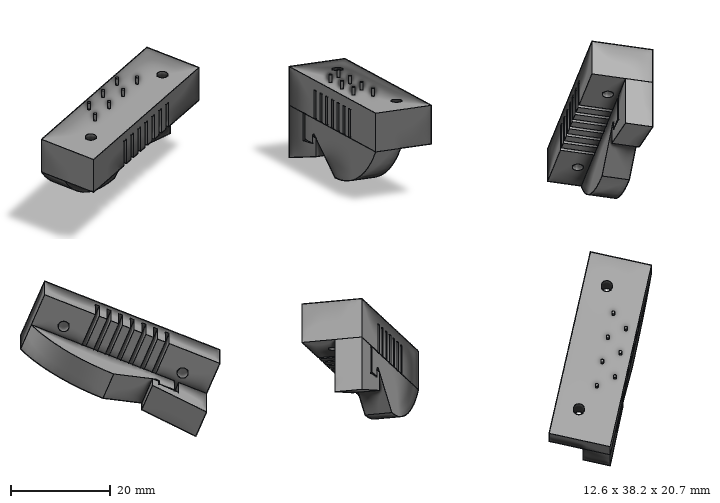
import cadquery as cq
import math

width = 12.6
length = 38.2
height = 8.1
end_y = length / 2

position_count = 7
pitch = 2.54
slot_width = 0.85
slot_height = 6.0
pin_diameter = 0.6
pin_height = 1.6
outer_pin_x = 2.15
inner_pin_x = 5.3

hole_diameter = 2.2
hole_x = 7.85
hole_spacing = 25.9

latch_thickness = 5.65

hook_depth = 11.0
arm_width = 6.1
floor_outer_depth = 5.85
floor_inner_depth = 5.4
lip_start = 10.4
lip_end = 11.8
lip_top_depth = 3.85
lip_bottom_depth = 7.8

cam_start = 7.03
catch_depth = 5.35
notch_start = 10.28
notch_top_depth = 3.32
notch_radius = 0.6
cam_low_point = 20.25
cam_depth = 10.0


def pitch_positions():
    """Y positions of the slots and pins, from the +Y end to the -Y end."""
    first_y = pitch * (position_count - 1) / 2
    return [first_y - pitch * index for index in range(position_count)]


def latch_point(distance, depth):
    """Sketch point in the YZ plane from distance to the +Y end and depth."""
    return (end_y - distance, -depth)


def make_housing():
    """Slotted block with mounting holes and a staggered row of integral pins."""
    block = cq.Workplane("XY").box(width, length, height, centered=(False, True, False))
    holes = (
        cq.Workplane("XY")
        .pushPoints([(hole_x, -hole_spacing / 2), (hole_x, hole_spacing / 2)])
        .circle(hole_diameter / 2)
        .extrude(height)
    )
    block = block.cut(holes)
    for index, y in enumerate(pitch_positions()):
        slot = (
            cq.Workplane("XY")
            .box(width, slot_width, slot_height, centered=(False, True, False))
            .translate((0, y, 0))
        )
        pin_x = inner_pin_x if index % 2 == 0 else outer_pin_x
        pin = (
            cq.Workplane("XY", origin=(pin_x, y, height))
            .circle(pin_diameter / 2)
            .extrude(pin_height)
        )
        block = block.cut(slot).union(pin)
    return block.solids()


def make_hook():
    """Hanging arm whose floor rises to an upturned lip under the cam."""
    outline = [
        latch_point(0, 0),
        latch_point(arm_width, 0),
        latch_point(arm_width, floor_outer_depth),
        latch_point(lip_start, floor_inner_depth),
        latch_point(lip_start, lip_top_depth),
        latch_point(lip_end, lip_top_depth),
        latch_point(lip_end, lip_bottom_depth),
        latch_point(0, hook_depth),
    ]
    return cq.Workplane("YZ").polyline(outline).close().extrude(latch_thickness)


def make_cam():
    """Cam with a round-topped catch notch, a straight flank and an arc underside."""
    notch_center = notch_start + notch_radius
    notch_center_depth = notch_top_depth + notch_radius
    flank_run = cam_low_point - notch_center
    flank_drop = cam_depth - notch_center_depth
    flank_angle = math.atan2(flank_drop, flank_run) + math.asin(
        notch_radius / math.hypot(flank_run, flank_drop)
    )
    flank_start = latch_point(
        notch_center + notch_radius * math.sin(flank_angle),
        notch_center_depth - notch_radius * math.cos(flank_angle),
    )

    arc_run = length - cam_low_point
    arc_radius = (arc_run**2 + cam_depth**2) / (2 * cam_depth)
    half_sweep = math.asin(arc_run / arc_radius) / 2
    arc_middle = latch_point(
        cam_low_point + arc_radius * math.sin(half_sweep),
        cam_depth - arc_radius * (1 - math.cos(half_sweep)),
    )

    return (
        cq.Workplane("YZ")
        .moveTo(*latch_point(cam_start, 0))
        .lineTo(*latch_point(cam_start, catch_depth))
        .lineTo(*latch_point(notch_start, catch_depth))
        .lineTo(*latch_point(notch_start, notch_center_depth))
        .threePointArc(latch_point(notch_center, notch_top_depth), flank_start)
        .lineTo(*latch_point(cam_low_point, cam_depth))
        .threePointArc(arc_middle, latch_point(length, 0))
        .close()
        .extrude(latch_thickness)
    )


housing = make_housing()
hook = make_hook()
cam = make_cam()

result = cq.Compound.makeCompound([housing.val(), hook.val(), cam.val()])